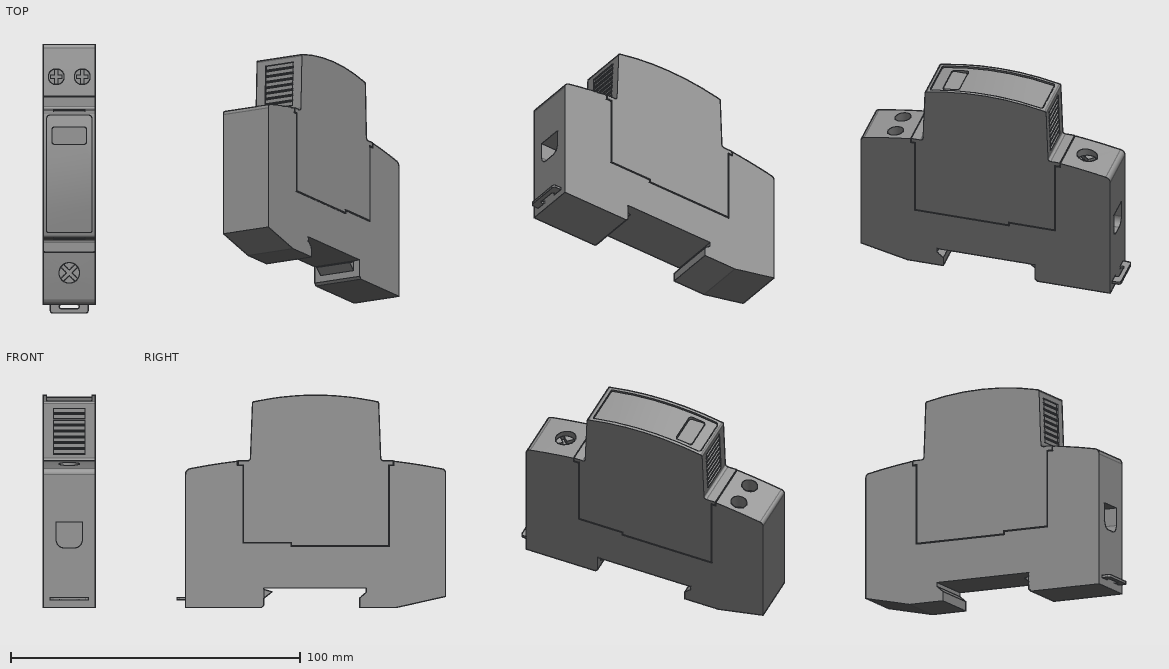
import cadquery as cq
import math


WIDTH = 18.0
LENGTH = 90.0
HEIGHT = 73.51
FRONT_Y = -LENGTH / 2
BACK_Y = LENGTH / 2
SHOULDER_RADIUS = 226.0
SHOULDER_CREST = 52.26
FLANGE_TOP = 50.8
FRONT_EDGE_RADIUS = 2.0
BACK_EDGE_RADIUS = 1.5
BACK_RAMP_TOP = 3.8
BACK_RAMP_END_Y = 28.1

HEAD_RADIUS = 100.0
HEAD_TOP_HALF = 21.85
HEAD_BASE_HALF = 22.6
HEAD_EDGE_RADIUS = 0.7
HEAD_FOOT_RADIUS = 0.95

RAIL_TOP = 6.7
RAIL_FRONT_Y = -17.85
RAIL_BACK_Y = 17.5
RAIL_LIP_Y = 15.25
RAIL_LIP_TOP = 3.3
RAIL_LIP_START = 5.3
RAIL_CHAMFER = 0.85
LATCH_WIDTH = 13.2
LATCH_TIP_Y = -15.0
LATCH_TOP = 6.3
LATCH_TIP_Z = 5.45
LATCH_BOTTOM = 3.2

TAB_REACH = 3.0
TAB_BOTTOM = 2.65
TAB_THICKNESS = 0.9
TAB_CORNER_RADIUS = 1.0
TAB_SLOT_LENGTH = 6.9
TAB_SLOT_WIDTH = 1.4

SEAM_GAP = 0.25
SEAM_DEPTH = 0.5
CARTRIDGE_FRONT_Y = -24.85
CARTRIDGE_BACK_Y = 25.3
CARTRIDGE_BOTTOM = 21.4
CARTRIDGE_STEP_Y = -8.25
CARTRIDGE_STEP_HEIGHT = 1.1
FLANGE_HALF = 26.8
FLANGE_BOTTOM = 49.3

PANEL_WIDTH = 15.6
PANEL_FRONT_Y = -20.1
PANEL_BACK_Y = 20.5
PANEL_DEPTH = 0.65
PANEL_BACK_RADIUS = 1.0
PANEL_FRONT_RADIUS = 0.5
WINDOW_WIDTH = 12.1
WINDOW_LENGTH = 6.0
WINDOW_CENTRE_Y = 13.4
WINDOW_FLOOR = 71.2
WINDOW_CORNER_RADIUS = 1.0

GRIP_COUNT = 8
GRIP_WIDTH = 11.0
GRIP_TOP = 68.8
GRIP_PITCH = 2.02
GRIP_MOUTH_HEIGHT = 1.65
GRIP_FLOOR_HEIGHT = 1.35
GRIP_DEPTH = 0.5

ENTRY_WIDTH = 9.1
ENTRY_BOTTOM = 20.6
ENTRY_HEIGHT = 9.0
ENTRY_CORNER_RADIUS = 2.8
ENTRY_DEPTH = 12.0

FRONT_SCREW_Y = -34.05
FRONT_SCREW_DIAMETER = 7.1
FRONT_SCREW_DEPTH = 2.4
FRONT_SLOT_WIDTH = 1.35
BACK_SCREW_X = 4.5
BACK_SCREW_Y = 33.8
BACK_SCREW_DIAMETER = 5.5
BACK_SCREW_DEPTH = 5.0
BACK_SLOT_X_LENGTH = 4.0
BACK_SLOT_Y_LENGTH = 4.9
BACK_SLOT_WIDTH = 1.3
SLOT_DEPTH = 1.6


def arc_height(crest, radius, y):
    """Height at y of an arc about the X direction that peaks at mid length."""
    return crest - radius + math.sqrt(radius**2 - y**2)


def shoulder_point(y):
    return (y, arc_height(SHOULDER_CREST, SHOULDER_RADIUS, y))


def head_point(y):
    return (y, arc_height(HEIGHT, HEAD_RADIUS, y))


def side_prism(points, width):
    """Closed (y, z) outline extruded across the part, centred on X = 0."""
    return cq.Workplane("YZ").polyline(points).close().extrude(width / 2, both=True)


def housing():
    shoulder_mid = (FLANGE_HALF + BACK_Y) / 2
    outline = (
        cq.Workplane("YZ")
        .moveTo(FRONT_Y, 0)
        .lineTo(*shoulder_point(FRONT_Y))
        .threePointArc(shoulder_point(-shoulder_mid), shoulder_point(-FLANGE_HALF))
        .lineTo(-FLANGE_HALF, FLANGE_TOP)
        .lineTo(-HEAD_BASE_HALF, FLANGE_TOP)
        .lineTo(*head_point(-HEAD_TOP_HALF))
        .threePointArc(head_point(-HEAD_TOP_HALF / 2), head_point(0))
        .threePointArc(head_point(HEAD_TOP_HALF / 2), head_point(HEAD_TOP_HALF))
        .lineTo(HEAD_BASE_HALF, FLANGE_TOP)
        .lineTo(FLANGE_HALF, FLANGE_TOP)
        .lineTo(*shoulder_point(FLANGE_HALF))
        .threePointArc(shoulder_point(shoulder_mid), shoulder_point(BACK_Y))
        .lineTo(BACK_Y, BACK_RAMP_TOP)
        .lineTo(BACK_RAMP_END_Y, 0)
        .lineTo(RAIL_LIP_Y, 0)
        .lineTo(RAIL_LIP_Y, RAIL_LIP_TOP)
        .lineTo(RAIL_BACK_Y, RAIL_LIP_START)
        .lineTo(RAIL_BACK_Y, RAIL_TOP)
        .lineTo(RAIL_FRONT_Y, RAIL_TOP)
        .lineTo(RAIL_FRONT_Y, RAIL_CHAMFER)
        .lineTo(RAIL_FRONT_Y - RAIL_CHAMFER, 0)
        .close()
    )
    body = outline.extrude(WIDTH / 2, both=True)
    rounded_edges = [
        (shoulder_point(FRONT_Y), FRONT_EDGE_RADIUS),
        (shoulder_point(BACK_Y), BACK_EDGE_RADIUS),
    ]
    for side in (-1, 1):
        rounded_edges.append((head_point(side * HEAD_TOP_HALF), HEAD_EDGE_RADIUS))
        rounded_edges.append(((side * HEAD_BASE_HALF, FLANGE_TOP), HEAD_FOOT_RADIUS))
    for (y, z), radius in rounded_edges:
        edge = cq.selectors.NearestToPointSelector((0, y, z))
        body = body.edges("|X").edges(edge).fillet(radius)
    return body


def latch_claw():
    points = [
        (RAIL_FRONT_Y, LATCH_TOP),
        (LATCH_TIP_Y, LATCH_TIP_Z),
        (RAIL_FRONT_Y, LATCH_BOTTOM),
    ]
    return side_prism(points, LATCH_WIDTH)


def pull_tab():
    tab = (
        cq.Workplane("XY", origin=(0, FRONT_Y - TAB_REACH / 2, TAB_BOTTOM))
        .rect(LATCH_WIDTH, TAB_REACH)
        .extrude(TAB_THICKNESS)
        .edges("|Z and <Y")
        .fillet(TAB_CORNER_RADIUS)
    )
    slot = (
        cq.Workplane("XY", origin=(0, FRONT_Y - TAB_SLOT_WIDTH / 2, TAB_BOTTOM))
        .slot2D(TAB_SLOT_LENGTH, TAB_SLOT_WIDTH)
        .extrude(TAB_THICKNESS)
    )
    return tab.cut(slot)


def cartridge_seam():
    """Groove round the cartridge on both side faces, and across the part at the flange ends."""
    step_z = CARTRIDGE_BOTTOM + CARTRIDGE_STEP_HEIGHT
    points = [
        (-FLANGE_HALF, HEIGHT),
        (-FLANGE_HALF, FLANGE_BOTTOM),
        (CARTRIDGE_FRONT_Y, FLANGE_BOTTOM),
        (CARTRIDGE_FRONT_Y, step_z),
        (CARTRIDGE_STEP_Y, step_z),
        (CARTRIDGE_STEP_Y, CARTRIDGE_BOTTOM),
        (CARTRIDGE_BACK_Y, CARTRIDGE_BOTTOM),
        (CARTRIDGE_BACK_Y, FLANGE_BOTTOM),
        (FLANGE_HALF, FLANGE_BOTTOM),
        (FLANGE_HALF, HEIGHT),
    ]
    outline = cq.Workplane("YZ").polyline(points).close()
    outer = outline.offset2D(SEAM_GAP, "intersection").extrude(WIDTH / 2, both=True)
    ring = outer.cut(side_prism(points, WIDTH))
    core = cq.Workplane("XY").box(WIDTH - 2 * SEAM_DEPTH, LENGTH, FLANGE_BOTTOM, (True, True, False))
    return ring.cut(core)


def label_panel():
    """Recess with a floor concentric to the head's top."""
    length = PANEL_BACK_Y - PANEL_FRONT_Y
    prism = (
        cq.Workplane("XY", origin=(0, (PANEL_BACK_Y + PANEL_FRONT_Y) / 2, FLANGE_TOP))
        .rect(PANEL_WIDTH, length)
        .extrude(HEIGHT - FLANGE_TOP)
        .edges("|Z and >Y")
        .fillet(PANEL_BACK_RADIUS)
        .edges("|Z and <Y")
        .fillet(PANEL_FRONT_RADIUS)
    )
    floor = (
        cq.Workplane("YZ", origin=(0, 0, HEIGHT - HEAD_RADIUS))
        .circle(HEAD_RADIUS - PANEL_DEPTH)
        .extrude(WIDTH, both=True)
    )
    return prism.cut(floor)


def window():
    return (
        cq.Workplane("XY", origin=(0, WINDOW_CENTRE_Y, WINDOW_FLOOR))
        .rect(WINDOW_WIDTH, WINDOW_LENGTH)
        .extrude(HEIGHT - WINDOW_FLOOR)
        .edges("|Z")
        .fillet(WINDOW_CORNER_RADIUS)
    )


def grip_grooves(side):
    """Grooves following the sloping end of the head; side is -1 for the front, 1 for the back."""
    top_y, top_z = head_point(HEAD_TOP_HALF)
    slope = (HEAD_BASE_HALF - HEAD_TOP_HALF) / (top_z - FLANGE_TOP)
    grooves = cq.Workplane("XY")
    for index in range(GRIP_COUNT):
        top = GRIP_TOP - index * GRIP_PITCH
        mouth_bottom = top - GRIP_MOUTH_HEIGHT
        face_y = top_y + slope * (top_z - top)
        mouth_y = side * (face_y + slope * GRIP_MOUTH_HEIGHT)
        floor_y = side * (face_y - GRIP_DEPTH)
        profile = [
            (mouth_y, top),
            (floor_y, top),
            (floor_y, top - GRIP_FLOOR_HEIGHT),
            (mouth_y, mouth_bottom),
        ]
        grooves = grooves.add(side_prism(profile, GRIP_WIDTH))
    return grooves.combine()


def cable_entry():
    return (
        cq.Workplane("XY", origin=(0, FRONT_Y, ENTRY_BOTTOM))
        .box(ENTRY_WIDTH, 2 * ENTRY_DEPTH, ENTRY_HEIGHT, (True, True, False))
        .edges("|Y and <Z")
        .fillet(ENTRY_CORNER_RADIUS)
    )


def screw_hole(x, y, diameter, depth, slot_lengths, slot_width, angle):
    """Round well with a cross recess in its floor; the second arm is square to the first."""
    floor_z = shoulder_point(y)[1] - depth
    well = cq.Workplane("XY", origin=(x, y, floor_z)).circle(diameter / 2).extrude(HEIGHT - floor_z)
    cross_plane = cq.Workplane("XY", origin=(x, y, floor_z - SLOT_DEPTH))
    for arm, length in enumerate(slot_lengths):
        slot = (
            cross_plane.transformed(rotate=(0, 0, angle + 90 * arm))
            .rect(length, slot_width)
            .extrude(SLOT_DEPTH)
        )
        well = well.union(slot)
    return well


def front_screw():
    return screw_hole(
        0,
        FRONT_SCREW_Y,
        FRONT_SCREW_DIAMETER,
        FRONT_SCREW_DEPTH,
        (FRONT_SCREW_DIAMETER, FRONT_SCREW_DIAMETER),
        FRONT_SLOT_WIDTH,
        angle=45,
    )


def back_screw(x):
    return screw_hole(
        x,
        BACK_SCREW_Y,
        BACK_SCREW_DIAMETER,
        BACK_SCREW_DEPTH,
        (BACK_SLOT_X_LENGTH, BACK_SLOT_Y_LENGTH),
        BACK_SLOT_WIDTH,
        angle=0,
    )


result = housing().union(latch_claw()).union(pull_tab())
result = result.cut(cartridge_seam()).cut(label_panel()).cut(window())
result = result.cut(cable_entry()).cut(front_screw())
for side in (-1, 1):
    result = result.cut(grip_grooves(side)).cut(back_screw(side * BACK_SCREW_X))